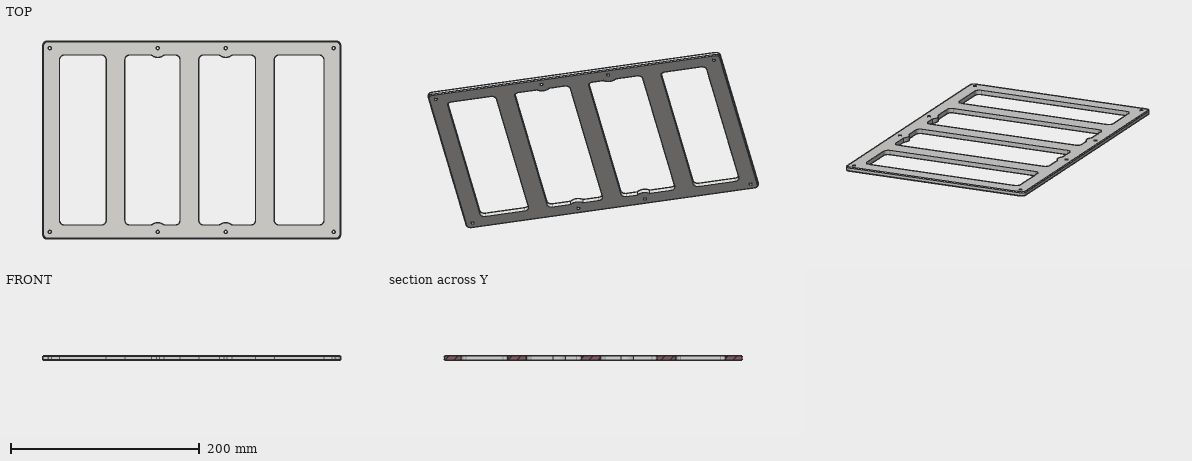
import cadquery as cq

length = 316.0
width = 210.0
thickness = 5.0
corner_radius = 5.0
edge_chamfer = 1.0

end_rim = 18.0
side_rim = 15.0
bar_width = 20.0
bar_centers_x = (-80.75, -2.5, 77.5)
window_corner_radius = 5.0

hole_diameter = 3.2
hole_inset = 7.6
middle_hole_x = 36.0
lug_radius = 10.0

corner_hole_x = length / 2 - hole_inset
hole_y = width / 2 - hole_inset
window_height = width - 2 * side_rim


def make_plate():
    """Flat plate with rounded corners and chamfered outer edges."""
    plate = cq.Workplane("XY").box(length, width, thickness)
    plate = plate.edges("|Z").fillet(corner_radius)
    return plate.faces("|Z").edges().chamfer(edge_chamfer)


def make_window(left, right):
    """Cutter for one rounded rectangular opening."""
    window = cq.Workplane("XY").box(right - left, window_height, thickness)
    window = window.edges("|Z").fillet(window_corner_radius)
    return window.translate(((left + right) / 2, 0, 0))


def make_windows():
    """Cutters for all openings, keeping round lugs around the middle holes."""
    inner_end = length / 2 - end_rim
    lefts = [-inner_end] + [x + bar_width / 2 for x in bar_centers_x]
    rights = [x - bar_width / 2 for x in bar_centers_x] + [inner_end]
    windows = cq.Workplane("XY")
    for left, right in zip(lefts, rights):
        windows = windows.add(make_window(left, right))
    lugs = (
        cq.Workplane("XY")
        .rect(2 * middle_hole_x, 2 * hole_y, forConstruction=True)
        .vertices()
        .circle(lug_radius)
        .extrude(thickness / 2, both=True)
    )
    return windows.combine().cut(lugs)


def drill_holes(plate):
    """Through holes at the corners and in the lugs."""
    for hole_x in (corner_hole_x, middle_hole_x):
        plate = (
            plate.faces(">Z")
            .workplane(origin=(0, 0, 0))
            .rect(2 * hole_x, 2 * hole_y, forConstruction=True)
            .vertices()
            .hole(hole_diameter)
        )
    return plate


result = drill_holes(make_plate().cut(make_windows()))